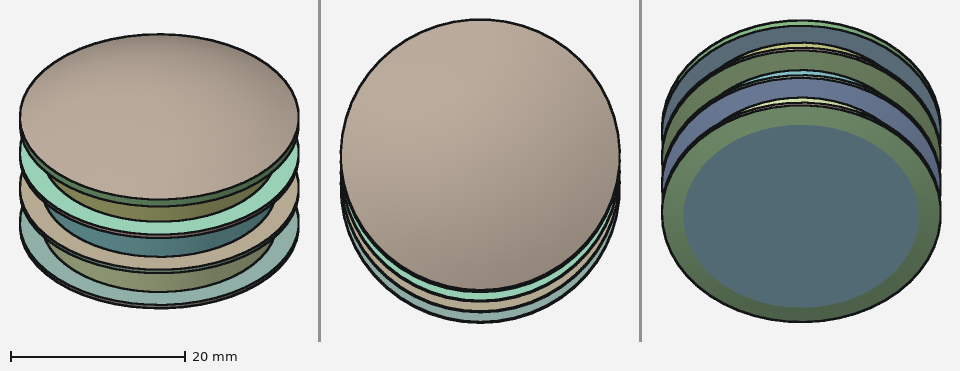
import cadquery as cq

outer_diameter = 32.0
core_diameter = 27.0
total_height = 20.0
dome_height = 4.0
fin_count = 3

outer_radius = outer_diameter / 2
core_radius = core_diameter / 2
flange_top = total_height - dome_height
fin_pitch = total_height / (fin_count + 1)
flange_bottom = fin_count * fin_pitch
fin_height = flange_top - flange_bottom
taper_height = fin_height / 2
dome_radius = (outer_radius**2 + dome_height**2) / (2 * dome_height)


def make_core():
    """Solid cylinder running from the base up to the top of the head flange."""
    return cq.Workplane("XY").circle(core_radius).extrude(flange_top)


def make_fin(base_z):
    """Sealing fin: a cone widening upward from the core, then a straight rim."""
    profile = [
        (0, base_z),
        (core_radius, base_z),
        (outer_radius, base_z + taper_height),
        (outer_radius, base_z + fin_height),
        (0, base_z + fin_height),
    ]
    return cq.Workplane("XZ").polyline(profile).close().revolve(360, (0, 0), (0, 1))


def make_head():
    """Flange with a straight rim, capped by a shallow spherical dome."""
    mid_radius = outer_radius / 2
    dome_centre_z = total_height - dome_radius
    mid_z = dome_centre_z + (dome_radius**2 - mid_radius**2) ** 0.5
    return (
        cq.Workplane("XZ")
        .moveTo(0, flange_bottom)
        .lineTo(outer_radius, flange_bottom)
        .lineTo(outer_radius, flange_top)
        .threePointArc((mid_radius, mid_z), (0, total_height))
        .close()
        .revolve(360, (0, 0), (0, 1))
    )


result = make_core().union(make_head())
for fin_index in range(fin_count):
    result = result.union(make_fin(fin_index * fin_pitch))